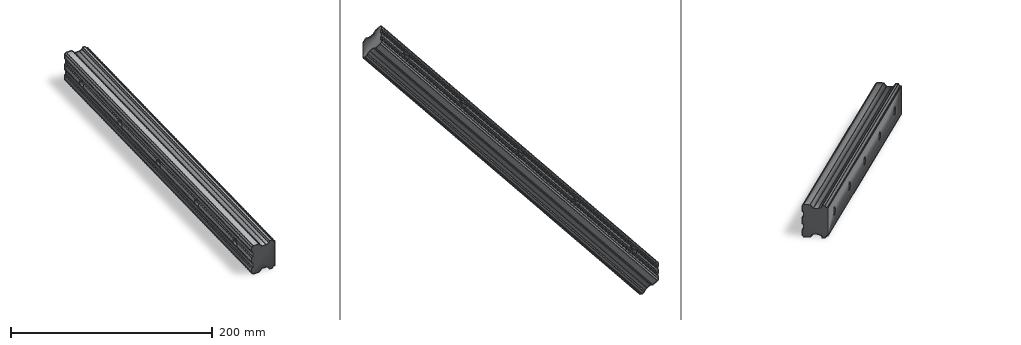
import cadquery as cq

length = 390.0
width = 26.0
height = 34.0
half_height = height / 2

front_chamfer = 1.5
shoulder_start = 23.0
shoulder_end = 25.0
shoulder_drop = 2.5

side_groove_depth = 3.5
side_groove_mouth_front = 8.0
side_groove_floor_front = 11.5
side_groove_floor_back = 16.5
side_groove_step = 19.5
side_groove_step_depth = 2.15
side_groove_mouth_back = 20.3

front_groove_depth = 1.0
front_groove_inner = 3.0
front_groove_outer = 9.8
front_groove_slope = 0.8

hole_count = 5
hole_pitch = 80.0
hole_diameter = 8.0


def upper_outline():
    """Points of the upper half section, as (distance from front, height)."""
    return [
        (0, front_groove_inner),
        (front_groove_depth, front_groove_inner + front_groove_slope),
        (front_groove_depth, front_groove_outer - front_groove_slope),
        (0, front_groove_outer),
        (0, half_height - front_chamfer),
        (front_chamfer, half_height),
        (side_groove_mouth_front, half_height),
        (side_groove_floor_front, half_height - side_groove_depth),
        (side_groove_floor_back, half_height - side_groove_depth),
        (side_groove_step, half_height - side_groove_step_depth),
        (side_groove_mouth_back, half_height),
        (shoulder_start, half_height),
        (shoulder_end, half_height - shoulder_drop),
        (width, half_height - shoulder_drop),
    ]


def make_rail():
    """Extrude the section, symmetric about mid-height, along X."""
    upper = [(depth - width / 2, z) for depth, z in upper_outline()]
    lower = [(y, -z) for y, z in reversed(upper)]
    section = cq.Workplane("YZ").polyline(upper + lower).close()
    return section.extrude(length / 2, both=True)


def make_holes():
    """Cylinders along Y for the row of mounting holes."""
    return (
        cq.Workplane("XZ")
        .rarray(hole_pitch, 4, hole_count, 1)
        .circle(hole_diameter / 2)
        .extrude(width, both=True)
    )


result = make_rail().cut(make_holes())